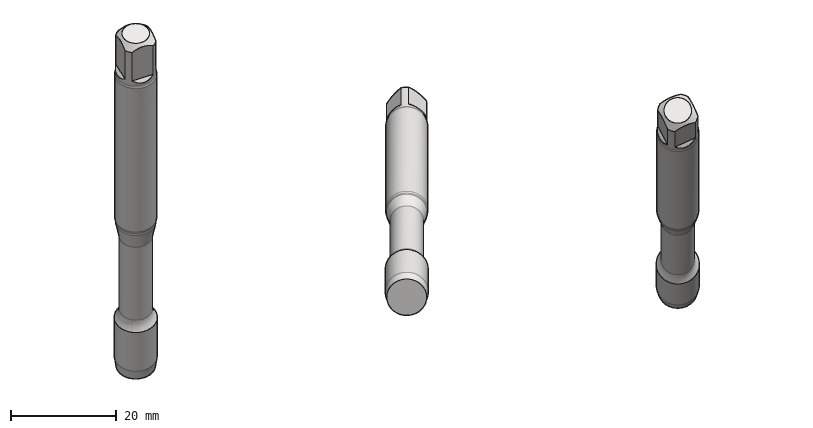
import cadquery as cq
import math

head_diameter = 8.2
head_tip_diameter = 7.6
lead_in_length = 2.4
head_length = 13.0

neck_diameter = 6.4
runout_length = 2.4
cone_bottom_z = 35.2
cone_top_z = 39.1

shank_diameter = 8.0
collar_diameter = 7.7
collar_length = 0.5
shank_chamfer_length = 0.5
shank_top_z = 79.65

overall_length = 90.0
square_width = 6.4
flat_bottom_z = 81.0
ledge_angle = 45.0
top_face_diameter = 5.2


def make_head():
    """Thread head, standing on Z = 0."""
    head_radius = head_diameter / 2
    return (
        cq.Workplane("XZ")
        .lineTo(head_tip_diameter / 2, 0)
        .lineTo(head_radius, lead_in_length)
        .lineTo(head_radius, head_length)
        .lineTo(0, head_length)
        .close()
        .revolve(360, (0, 0), (0, 1))
    )


def make_round_body():
    """Neck, shank and round blank of the square drive, resting on the head."""
    head_radius = head_diameter / 2
    neck_radius = neck_diameter / 2
    collar_radius = collar_diameter / 2
    shank_radius = shank_diameter / 2
    top_radius = top_face_diameter / 2

    chamfer_bottom_z = cone_top_z + collar_length
    shank_bottom_z = chamfer_bottom_z + shank_chamfer_length
    top_chamfer = collar_radius - top_radius

    runout_top_z = head_length + runout_length
    return (
        cq.Workplane("XZ")
        .moveTo(0, head_length)
        .lineTo(0, overall_length)
        .lineTo(top_radius, overall_length)
        .lineTo(collar_radius, overall_length - top_chamfer)
        .lineTo(collar_radius, shank_top_z)
        .lineTo(shank_radius, shank_top_z - shank_chamfer_length)
        .lineTo(shank_radius, shank_bottom_z)
        .lineTo(collar_radius, chamfer_bottom_z)
        .lineTo(collar_radius, cone_top_z)
        .lineTo(neck_radius, cone_bottom_z)
        .lineTo(neck_radius, runout_top_z)
        .tangentArcPoint((head_radius, head_length), relative=False)
        .close()
        .revolve(360, (0, 0), (0, 1))
    )


def make_flat_cutter():
    """Material beside the +X flat, with a ledge sloping down and outward."""
    inner_x = square_width / 2
    outer_x = shank_diameter
    ledge_drop = (outer_x - inner_x) * math.tan(math.radians(ledge_angle))
    return (
        cq.Workplane("XZ")
        .moveTo(inner_x, flat_bottom_z)
        .lineTo(outer_x, flat_bottom_z - ledge_drop)
        .lineTo(outer_x, overall_length)
        .lineTo(inner_x, overall_length)
        .close()
        .extrude(shank_diameter, both=True)
    )


def make_shank():
    """Shank with its neck and square drive."""
    body = make_round_body()
    cutter = make_flat_cutter()
    for quarter_turn in range(4):
        body = body.cut(cutter.rotate((0, 0, 0), (0, 0, 1), 90 * quarter_turn))
    return body


head = make_head()
shank = make_shank()

result = cq.Compound.makeCompound([head.val(), shank.val()])